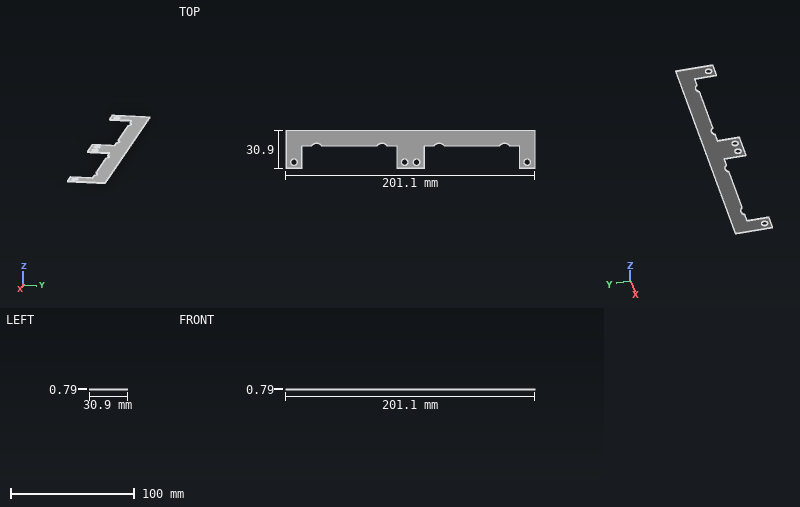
import cadquery as cq
import math

length = 201.12
depth = 30.86
thickness = 0.79

spine_width = 12.7
leg_width = 12.7

hole_diameter = 5.08
hole_edge_distance = 5.08
centre_hole_pitch = 9.652

notch_spacing = 52.9
notch_radius = 5.08
notch_height = 2.13

back_y = depth / 2
front_y = -depth / 2
spine_edge_y = back_y - spine_width
tab_width = centre_hole_pitch + leg_width
window_length = (length - 2 * leg_width - tab_width) / 2
window_centre_x = (tab_width + window_length) / 2
notch_half_width = math.sqrt(notch_radius**2 - (notch_radius - notch_height) ** 2)
end_hole_x = (length - leg_width) / 2
centre_hole_x = centre_hole_pitch / 2
hole_y = front_y + hole_edge_distance


def make_window(centre_x):
    """Rectangular opening whose inner edge carries two arc-shaped notches."""
    left_x = centre_x - window_length / 2
    right_x = centre_x + window_length / 2
    outline = cq.Workplane("XY").moveTo(left_x, front_y).lineTo(left_x, spine_edge_y)
    for notch_x in (centre_x - notch_spacing / 2, centre_x + notch_spacing / 2):
        outline = outline.lineTo(notch_x - notch_half_width, spine_edge_y)
        outline = outline.threePointArc(
            (notch_x, spine_edge_y + notch_height),
            (notch_x + notch_half_width, spine_edge_y),
        )
    outline = outline.lineTo(right_x, spine_edge_y).lineTo(right_x, front_y)
    return outline.close().extrude(thickness)


def make_holes():
    """Through holes in both legs and in the centre tab."""
    hole_xs = (-end_hole_x, -centre_hole_x, centre_hole_x, end_hole_x)
    centres = [(x, hole_y) for x in hole_xs]
    return cq.Workplane("XY").pushPoints(centres).circle(hole_diameter / 2).extrude(thickness)


plate = cq.Workplane("XY").rect(length, depth).extrude(thickness)
for side in (-1, 1):
    plate = plate.cut(make_window(side * window_centre_x))

result = plate.cut(make_holes())